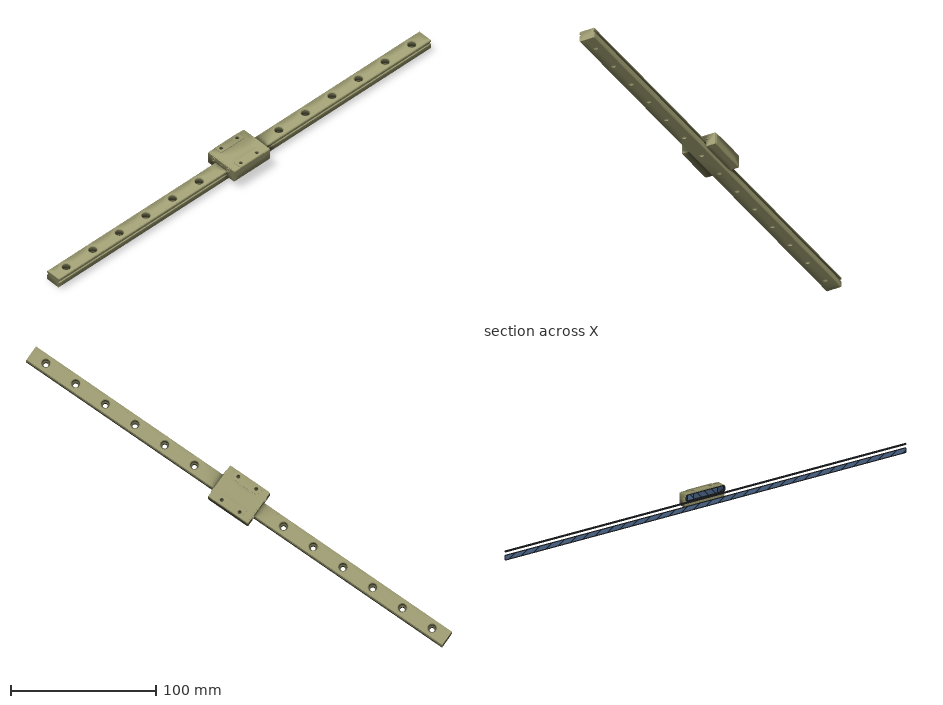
import cadquery as cq
import math


EDGE_CHAMFER = 0.5

RAIL_LENGTH = 350
RAIL_SIDE_HEIGHT = 7.0
RAIL_WEB_WIDTH = 10.0
GROOVE_DEPTH = 0.9
GROOVE_MOUTH_HEIGHT = 2.0
GROOVE_FLOOR_HEIGHT = 1.8
GROOVE_BELOW_TOP = 2.62
RAIL_HEIGHT = RAIL_SIDE_HEIGHT + 2 * EDGE_CHAMFER
RAIL_WIDTH = RAIL_WEB_WIDTH + 2 * GROOVE_DEPTH

MOUNT_COUNT = 14
MOUNT_PITCH = RAIL_LENGTH / MOUNT_COUNT
MOUNT_BORE_DIAMETER = 3.5
COUNTERBORE_DIAMETER = 6.0
COUNTERBORE_DEPTH = 4.5

CARRIAGE_WIDTH = 27.0
CARRIAGE_BOTTOM = 3.0
CARRIAGE_TOP = 13.0
BLOCK_LENGTH = 21.7
BLOCK_AND_CAPS_LENGTH = 32.0
CAP_LENGTH = (BLOCK_AND_CAPS_LENGTH - BLOCK_LENGTH) / 2
CAP_TOP = CARRIAGE_TOP - 0.5

RECESS_WIDTH = 13.0
RECESS_DEPTH = 0.5

TAP_DIAMETER = 2.52
TAP_CHAMFER = 0.25
TAP_DEPTH = 3.5
TAP_SPACING_X = 20.0
TAP_SPACING_Y = 15.0
DRILL_POINT_ANGLE = 118

SEAL_THICKNESS = 0.88
SEAL_INSET = 0.18
SEAL_WIDTH = CARRIAGE_WIDTH - 2 * SEAL_INSET
SEAL_TOP = CAP_TOP - SEAL_INSET
GREASE_HOLE_DIAMETER = 2.3
GREASE_HOLE_Z = CARRIAGE_TOP - 2.62
HEAD_DIAMETER = 3.5
HEAD_HEIGHT = 0.52
HEAD_SOCKET_DIAMETER = 2.3
HEAD_SPACING = 14.7
HEAD_Z = CARRIAGE_TOP - 2.98


def make_rail():
    """Chamfered bar with a ball groove along each side and a row of counterbored holes."""
    bar = (
        cq.Workplane("XY")
        .box(RAIL_WIDTH, RAIL_LENGTH, RAIL_HEIGHT, centered=(True, True, False))
        .edges("|Y")
        .chamfer(EDGE_CHAMFER)
    )
    hole_places = [(0, (i - (MOUNT_COUNT - 1) / 2) * MOUNT_PITCH) for i in range(MOUNT_COUNT)]
    drilled = (
        bar.faces(">Z")
        .workplane(origin=(0, 0, RAIL_HEIGHT))
        .pushPoints(hole_places)
        .cboreHole(MOUNT_BORE_DIAMETER, COUNTERBORE_DIAMETER, COUNTERBORE_DEPTH)
        .faces(">Z")
        .edges("%CIRCLE")
        .chamfer(EDGE_CHAMFER)
    )
    for side in (-1, 1):
        drilled = drilled.cut(ball_groove(side))
    return drilled


def ball_groove(side):
    """Trapezoidal groove, as a cutter along the -X (side -1) or +X (side 1) face of the rail."""
    mouth_x = side * RAIL_WIDTH / 2
    floor_x = side * RAIL_WEB_WIDTH / 2
    middle_z = RAIL_HEIGHT - GROOVE_BELOW_TOP
    outline = [
        (mouth_x, middle_z - GROOVE_MOUTH_HEIGHT / 2),
        (floor_x, middle_z - GROOVE_FLOOR_HEIGHT / 2),
        (floor_x, middle_z + GROOVE_FLOOR_HEIGHT / 2),
        (mouth_x, middle_z + GROOVE_MOUTH_HEIGHT / 2),
    ]
    return cq.Workplane("XZ").polyline(outline).close().extrude(RAIL_LENGTH / 2, both=True)


def make_saddle(width, top, length, start_y):
    """Piece of carriage from start_y towards +Y, chamfered along Y and open below around the rail."""
    body = (
        cq.Workplane("XY", origin=(0, start_y, CARRIAGE_BOTTOM))
        .box(width, length, top - CARRIAGE_BOTTOM, centered=(True, False, False))
        .edges("|Y")
        .chamfer(EDGE_CHAMFER)
    )
    rail_space = cq.Workplane("XY", origin=(0, start_y, 0)).box(
        RAIL_WIDTH, length, RAIL_HEIGHT, centered=(True, False, False)
    )
    return body.cut(rail_space)


def make_block():
    """Middle of the carriage, with two raised pads that hold the tapped holes."""
    block = make_saddle(CARRIAGE_WIDTH, CARRIAGE_TOP, BLOCK_LENGTH, -BLOCK_LENGTH / 2)
    recess = cq.Workplane("XY", origin=(0, 0, CARRIAGE_TOP - RECESS_DEPTH)).box(
        RECESS_WIDTH, BLOCK_LENGTH, RECESS_DEPTH, centered=(True, True, False)
    )
    block = block.cut(recess)
    for x in (-TAP_SPACING_X / 2, TAP_SPACING_X / 2):
        for y in (-TAP_SPACING_Y / 2, TAP_SPACING_Y / 2):
            block = block.cut(tapped_hole().translate((x, y, CARRIAGE_TOP)))
    return block


def tapped_hole():
    """Cutter below the origin: chamfered mouth, straight wall and a drill point."""
    radius = TAP_DIAMETER / 2
    point_depth = radius / math.tan(math.radians(DRILL_POINT_ANGLE / 2))
    half_section = [
        (0, 0),
        (radius + TAP_CHAMFER, 0),
        (radius, -TAP_CHAMFER),
        (radius, -TAP_DEPTH),
        (0, -TAP_DEPTH - point_depth),
    ]
    return cq.Workplane("XZ").polyline(half_section).close().revolve(360, (0, 0), (0, 1))


def make_end_cap():
    """Cap against the +Y end of the block."""
    return make_saddle(CARRIAGE_WIDTH, CAP_TOP, CAP_LENGTH, BLOCK_LENGTH / 2)


def make_end_seal():
    """Thin plate against the +Y cap, with a grease hole and two round heads with sockets."""
    inner_y = BLOCK_AND_CAPS_LENGTH / 2
    outer_y = inner_y + SEAL_THICKNESS
    plate = make_saddle(SEAL_WIDTH, SEAL_TOP, SEAL_THICKNESS, inner_y)
    grease_hole = (
        cq.Workplane("XZ", origin=(0, outer_y, GREASE_HOLE_Z))
        .circle(GREASE_HOLE_DIAMETER / 2)
        .extrude(SEAL_THICKNESS)
    )
    heads = (
        cq.Workplane("XZ", origin=(0, outer_y, HEAD_Z))
        .pushPoints([(-HEAD_SPACING / 2, 0), (HEAD_SPACING / 2, 0)])
        .circle(HEAD_DIAMETER / 2)
        .circle(HEAD_SOCKET_DIAMETER / 2)
        .extrude(-HEAD_HEIGHT)
    )
    return plate.cut(grease_hole).union(heads)


def at_both_ends(part):
    """The part at the +Y end and its mirror image at the -Y end, as two separate solids."""
    return [part.solids().val(), part.mirror("XZ").solids().val()]


rail = make_rail()
block = make_block()
end_caps = at_both_ends(make_end_cap())
end_seals = at_both_ends(make_end_seal())

result = cq.Compound.makeCompound([rail.solids().val(), block.solids().val(), *end_caps, *end_seals])